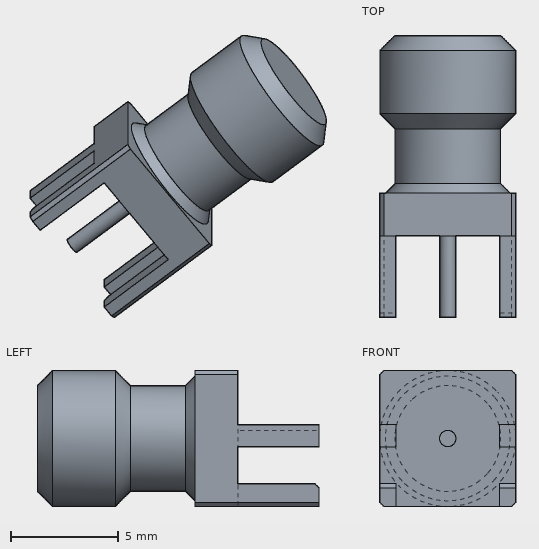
import cadquery as cq


base_side = 6.35
base_thickness = 2.0
base_corner_chamfer = 0.2

head_diameter = 6.35
neck_diameter = 4.94
flare_length = 0.44
neck_length = 2.56
barrel_length = 7.35

pin_diameter = 0.76
pin_length = 3.8
leg_width = 0.76
leg_tip_chamfer = 0.2
upper_leg_bottom = -0.39
upper_leg_top = 0.65
lower_leg_top = -2.11

half_side = base_side / 2


def make_base():
    """Square block with its four edges parallel to Y chamfered."""
    block = cq.Workplane("XY").box(base_side, base_thickness, base_side)
    block = block.edges("|Y").chamfer(base_corner_chamfer)
    return block.translate((0, base_thickness / 2, 0))


def make_barrel():
    """Flared foot, narrow neck and head with 45 degree cones at both ends."""
    head_radius = head_diameter / 2
    neck_radius = neck_diameter / 2
    cone_length = head_radius - neck_radius
    foot_radius = neck_radius + flare_length
    foot_y = base_thickness
    neck_start_y = foot_y + flare_length
    neck_end_y = neck_start_y + neck_length
    head_start_y = neck_end_y + cone_length
    tip_y = foot_y + barrel_length
    head_end_y = tip_y - cone_length
    half_profile = (
        cq.Workplane("XY")
        .moveTo(0, foot_y)
        .lineTo(foot_radius, foot_y)
        .lineTo(neck_radius, neck_start_y)
        .lineTo(neck_radius, neck_end_y)
        .lineTo(head_radius, head_start_y)
        .lineTo(head_radius, head_end_y)
        .lineTo(neck_radius, tip_y)
        .lineTo(0, tip_y)
        .close()
    )
    return half_profile.revolve(360, (0, 0, 0), (0, 1, 0))


def make_centre_pin():
    """Round pin on the barrel axis."""
    return cq.Workplane("XZ").circle(pin_diameter / 2).extrude(pin_length)


def make_leg(side, bottom_z, top_z):
    """Rectangular leg flush with the base side; side is -1 or +1 along X."""
    height = top_z - bottom_z
    centre_x = side * (half_side - leg_width / 2)
    centre_z = (top_z + bottom_z) / 2
    leg = cq.Workplane("XY").box(leg_width, pin_length, height)
    return leg.translate((centre_x, -pin_length / 2, centre_z))


def make_lower_leg(side):
    """Leg flush with the base bottom, bevelled at its tip and outer bottom edge."""
    leg = make_leg(side, -half_side, lower_leg_top)
    leg = leg.faces("<Y").edges(">Z").chamfer(leg_tip_chamfer)
    outer_face = ">X" if side > 0 else "<X"
    return leg.faces(outer_face).edges("<Z").chamfer(base_corner_chamfer)


result = make_base().union(make_barrel()).union(make_centre_pin())
for side in (-1, 1):
    result = result.union(make_leg(side, upper_leg_bottom, upper_leg_top))
    result = result.union(make_lower_leg(side))